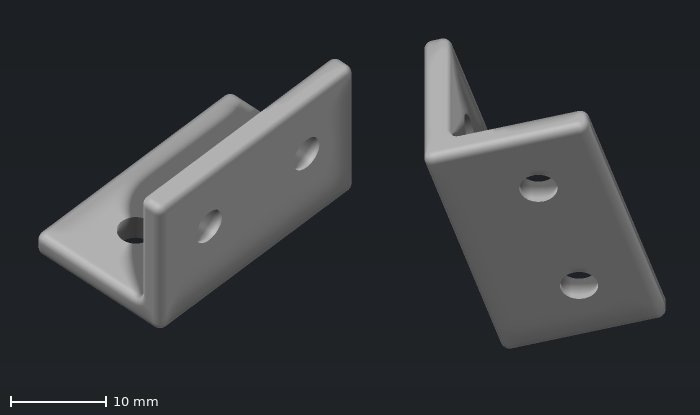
import cadquery as cq

length = 30.0
leg = 18.0
thickness = 3.0
edge_radius = thickness / 3
hole_diameter = 4.0
hole_spacing = length / 2
hole_edge_distance = 7.5
hole_positions = (-hole_spacing / 2, hole_spacing / 2)


def angle_body():
    """L section along Y, centred on Y = 0, with every edge rounded."""
    base = cq.Workplane("XY").box(leg, length, thickness, centered=(False, True, False))
    wall = (
        cq.Workplane("XY")
        .box(thickness, length, leg, centered=(False, True, False))
        .translate((leg - thickness, 0, 0))
    )
    body = base.union(wall).clean()
    inside_corner = cq.selectors.NearestToPointSelector((leg - thickness, 0, thickness))
    body = body.edges("|Y").edges(inside_corner).fillet(edge_radius)
    long_outer_edges = body.edges("|Y and (<X or >X or >Z)")
    return body.faces("<Y or >Y").edges().add(long_outer_edges).fillet(edge_radius)


def hole_pair(plane):
    """Two cutters running along the plane normal, spaced along Y."""
    if plane == "XY":
        centers = [(hole_edge_distance, y) for y in hole_positions]
    else:
        centers = [(y, leg - hole_edge_distance) for y in hole_positions]
    return cq.Workplane(plane).pushPoints(centers).circle(hole_diameter / 2).extrude(leg)


result = angle_body().cut(hole_pair("XY")).cut(hole_pair("YZ"))